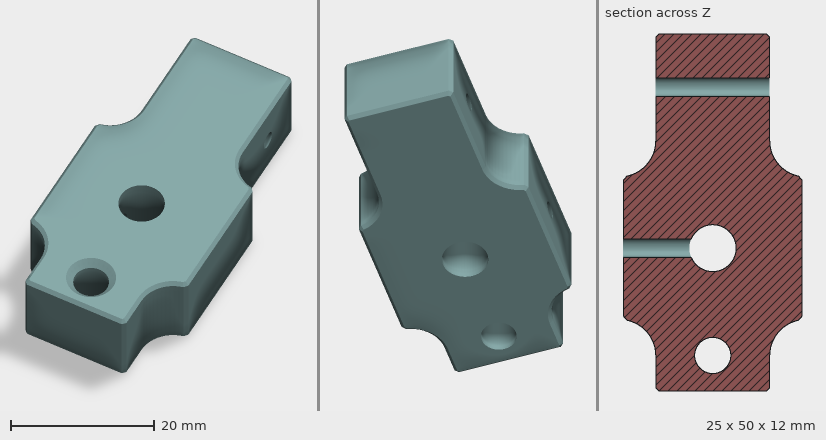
import cadquery as cq

length = 50.0
height = 12.0
body_width = 25.0
neck_width = 16.0
edge_chamfer = 0.5

shoulder_radius = 5.0
front_shoulder_y = 5.0
rear_shoulder_y = 35.0
shoulder_center_x = neck_width / 2 + shoulder_radius

bore_diameter = 6.5
bore_y = 20.0
screw_diameter = 5.0
countersink_diameter = 7.0
countersink_angle = 90.0
screw_y = 5.0

cross_diameter = 2.5
rear_cross_y = 42.5


def make_block():
    """Wide plate with four rounded corner notches and chamfered edges."""
    block = cq.Workplane("XY").box(body_width, length, height, centered=(True, False, False))
    notch_depth = (body_width - neck_width) / 2
    rear_length = length - rear_shoulder_y
    for side in (-1, 1):
        notch_x = side * (neck_width + notch_depth) / 2
        for y_start, notch_length in ((0, front_shoulder_y), (rear_shoulder_y, rear_length)):
            notch = (
                cq.Workplane("XY")
                .center(notch_x, y_start + notch_length / 2)
                .rect(notch_depth, notch_length)
                .extrude(height)
            )
            block = block.cut(notch)
        for shoulder_y in (front_shoulder_y, rear_shoulder_y):
            scallop = (
                cq.Workplane("XY")
                .center(side * shoulder_center_x, shoulder_y)
                .circle(shoulder_radius)
                .extrude(height)
            )
            block = block.cut(scallop)
    end_corners = block.edges("|Z and (<Y or >Y)")
    tip_corners = block.edges("|Z and (<X or >X)")
    block = end_corners.add(tip_corners).chamfer(edge_chamfer)
    return block.faces("<Z or >Z").edges().chamfer(edge_chamfer)


def vertical_hole(y, diameter):
    return cq.Workplane("XY").center(0, y).circle(diameter / 2).extrude(height)


def cut_countersunk_hole(block):
    return (
        block.faces(">Z")
        .workplane(origin=(0, screw_y, height))
        .cskHole(screw_diameter, countersink_diameter, countersink_angle)
    )


def cross_hole(y, x_end):
    """Hole at mid height from the -X side to x_end."""
    start = -body_width / 2
    return (
        cq.Workplane("YZ", origin=(start, y, height / 2))
        .circle(cross_diameter / 2)
        .extrude(x_end - start)
    )


result = make_block().cut(vertical_hole(bore_y, bore_diameter))
result = cut_countersunk_hole(result)
result = result.cut(cross_hole(rear_cross_y, body_width / 2))
result = result.cut(cross_hole(bore_y, 0))
result = result.translate((0, -length / 2, -height / 2))